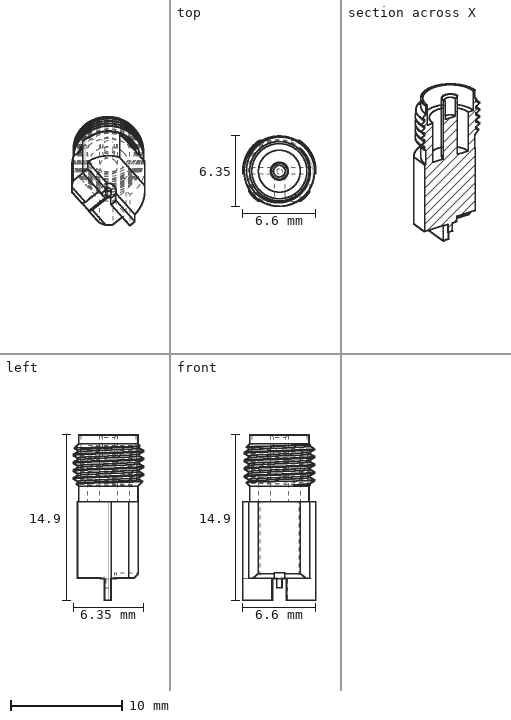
import cadquery as cq
import math


body_length = 6.9
neck_length = 1.4
thread_length = 3.8
tip_length = 0.8
blade_length = 2.0

thread_bottom = body_length + neck_length
thread_top = thread_bottom + thread_length
tip_top = thread_top + tip_length

body_radius = 3.3
back_flat_y = 2.8
front_flat_y = -2.7
front_half_width = 2.75
blade_front_y = -0.25
blade_thickness = 0.6
body_chamfer = 0.4

bead_radius = 0.7
bead_protrusion = 0.04
slot_width = 0.96
slot_height = 0.5
pin_radius = 0.25
pin_length = 0.86

barrel_radius = 2.675
thread_radius = 3.175
pitch = 25.4 / 36
crest_flat = pitch / 8
root_flat = pitch / 4
flank_angle = math.radians(30)
thread_depth = (pitch - crest_flat - root_flat) / 2 / math.tan(flank_angle)
root_radius = thread_radius - thread_depth
thread_end_chamfer = thread_radius - barrel_radius
cutter_overlap = 0.04
top_groove_offset = 0.12

mouth_radius = 2.48
mouth_depth = 2.0
cavity_radius = 1.89
cavity_depth = tip_top - body_length
contact_radius = 0.8
contact_hole_radius = 0.53
contact_hole_depth = mouth_depth
contact_countersink_radius = 0.73
contact_countersink_depth = contact_countersink_radius - contact_hole_radius


def cylinder(radius, bottom, height):
    return cq.Workplane("XY", origin=(0, 0, bottom)).circle(radius).extrude(height)


def circle_offset(offset):
    """Coordinate on the body circle paired with the given one."""
    return math.sqrt(body_radius**2 - offset**2)


def body_prism(bottom, height):
    """Full body outline extruded along the axis."""
    back_half_width = circle_offset(back_flat_y)
    front_flat_half_width = circle_offset(front_flat_y)
    front_side_y = -circle_offset(front_half_width)
    back_mid = body_radius * math.sqrt(0.5)
    front_mid_angle = (
        math.atan2(front_side_y, front_half_width) + math.atan2(front_flat_y, front_flat_half_width)
    ) / 2
    front_mid_x = body_radius * math.cos(front_mid_angle)
    front_mid_y = body_radius * math.sin(front_mid_angle)
    return (
        cq.Workplane("XY", origin=(0, 0, bottom))
        .moveTo(body_radius, blade_front_y)
        .lineTo(body_radius, 0)
        .threePointArc((back_mid, back_mid), (back_half_width, back_flat_y))
        .lineTo(-back_half_width, back_flat_y)
        .threePointArc((-back_mid, back_mid), (-body_radius, 0))
        .lineTo(-body_radius, blade_front_y)
        .lineTo(-front_half_width, blade_front_y)
        .lineTo(-front_half_width, front_side_y)
        .threePointArc((-front_mid_x, front_mid_y), (-front_flat_half_width, front_flat_y))
        .lineTo(front_flat_half_width, front_flat_y)
        .threePointArc((front_mid_x, front_mid_y), (front_half_width, front_side_y))
        .lineTo(front_half_width, blade_front_y)
        .close()
        .extrude(height)
    )


def make_body():
    """Body with its lower front edge chamfered and the access slot up to the bead."""
    chamfer_cut = (
        cq.Workplane("YZ")
        .moveTo(front_flat_y, 0)
        .lineTo(front_flat_y + body_chamfer, 0)
        .lineTo(front_flat_y, body_chamfer)
        .close()
        .extrude(body_radius, both=True)
    )
    slot = cq.Workplane("XY").box(slot_width, -front_flat_y, slot_height, centered=(True, False, False))
    slot = slot.translate((0, front_flat_y, 0))
    return body_prism(0, body_length).cut(chamfer_cut).cut(slot)


def make_blade():
    """Flat blade below the body, split in two legs by the bead bore."""
    slab = cq.Workplane("XY").box(
        2 * body_radius, blade_thickness, blade_length, centered=(True, False, False)
    )
    slab = slab.translate((0, blade_front_y, -blade_length))
    bore = cylinder(bead_radius, -blade_length, blade_length)
    return body_prism(-blade_length, blade_length).intersect(slab).cut(bore)


def make_bead_and_pin():
    bead = cylinder(bead_radius, -bead_protrusion, slot_height + bead_protrusion)
    pin = cylinder(pin_radius, -pin_length, pin_length)
    return bead.union(pin)


def make_thread():
    """Cylinder with chamfered ends and a helical groove that runs out at both ends."""
    envelope = cylinder(thread_radius, thread_bottom, thread_length)
    envelope = envelope.faces("<Z or >Z").chamfer(thread_end_chamfer)

    turns = math.ceil(thread_length / pitch) + 1
    groove_length = turns * pitch
    groove_start = thread_top - top_groove_offset + pitch - groove_length
    outer_radius = thread_radius + cutter_overlap
    root_half = root_flat / 2
    outer_half = root_half + (outer_radius - root_radius) * math.tan(flank_angle)
    helix = cq.Wire.makeHelix(pitch, groove_length, root_radius)
    groove = (
        cq.Workplane("XZ")
        .polyline(
            [
                (root_radius, -root_half),
                (outer_radius, -outer_half),
                (outer_radius, outer_half),
                (root_radius, root_half),
            ]
        )
        .close()
        .sweep(cq.Workplane(obj=helix), isFrenet=True)
        .translate((0, 0, groove_start))
    )
    rod_end = 2 * pitch
    rod = cylinder(thread_radius, thread_bottom - rod_end, thread_length + 2 * rod_end)
    return rod.cut(groove).intersect(envelope)


def make_mating_cavity():
    """Open mouth and the narrower cavity below it."""
    mouth = cylinder(mouth_radius, tip_top - mouth_depth, mouth_depth)
    cavity = cylinder(cavity_radius, tip_top - cavity_depth, cavity_depth)
    return mouth.union(cavity)


def make_center_contact():
    """Socket contact standing on the cavity floor, with a countersunk hole."""
    socket = cylinder(contact_radius, tip_top - cavity_depth, cavity_depth)
    hole = cylinder(contact_hole_radius, tip_top - contact_hole_depth, contact_hole_depth)
    countersink = cq.Workplane("XY").add(
        cq.Solid.makeCone(
            contact_hole_radius,
            contact_countersink_radius,
            contact_countersink_depth,
            pnt=cq.Vector(0, 0, tip_top - contact_countersink_depth),
        )
    )
    return socket.cut(hole).cut(countersink)


barrel = cylinder(barrel_radius, body_length, tip_top - body_length).union(make_thread())
shell = make_body().union(make_blade()).union(barrel).cut(make_mating_cavity())
result = shell.union(make_bead_and_pin()).union(make_center_contact())